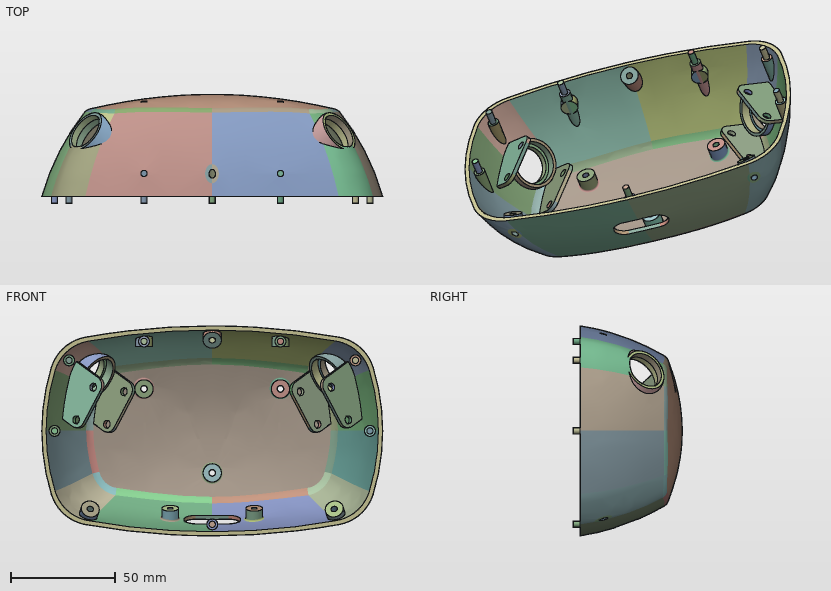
import cadquery as cq
import math

RIM_HALF_X = 81.22
RIM_HALF_Z = 50.05
DOME_HEIGHT = 48.7
DOME_EDGE_Y = 41.4
TOTAL_DEPTH = 52.0
WALL = 2.0
PIN_OUT = TOTAL_DEPTH - DOME_HEIGHT
UP = cq.Vector(0, 0, 1)
OVERSHOOT = 4.0

LONG_ARC_RADIUS = 341.4
SHORT_ARC_RADIUS = 102.7
CORNER_RADIUS = 21.0

WALL_ARC_X = (-30.1, -31.3)
WALL_ARC_Z = (-62.3, -17.3)
WALL_SECTIONS = 5

DOME_POWER = 3.4
DOME_GRID = 24
DOME_REACH = 1.6
DOME_TOLERANCE = 0.02
OUTER_FILLET = 5.0
EDGE_FILLET = 6.0

PIN_POSITIONS = [(-75.1, 0), (75.1, 0), (-68.2, 33.6), (68.2, 33.6), (-32.5, 42.6), (32.5, 42.6), (0, -44.5)]
PIN_DIAMETER = 3.0
POST_DIAMETER = 5.2
POST_Y = 3.5

SCREW_BOSS_SHIFT = {(-58.1, -37.2): (-1.5, -4.6), (58.1, -37.2): (1.5, -4.6), (0, 43.2): (0, 4.6)}
SCREW_BOSS_DIAMETER = 8.7
SCREW_BOSS_Y = 2.7
SCREW_WALL_Y = 10.8
SCREW_HOLE_DIAMETER = 3.0
SCREW_SEAT = 2.0
ACCESS_DIAMETER = 6.5

STANDOFF_POSITIONS = [(-32.5, 20), (32.5, 20), (0, -20)]
FOOT_FILLET = 0.75
STANDOFF_DIAMETER = 8.7
STANDOFF_HOLE = 3.0
STANDOFF_Y = 37.2

TOP_BOSS_X = 32.5
TOP_BOSS_Y = 11.0
TOP_BOSS_DIAMETER = 8.0
TOP_BOSS_Z = 40.1
TOP_HOLE_DIAMETER = 3.0
TOP_HOLE_DEPTH = 5.0

FLOOR_BOSS_X = 20.0
FLOOR_Y = 22.0
FLOOR_BOSS_DIAMETER = 8.0
FLOOR_BOSS_HEIGHT = 6.0
FLOOR_BOSS_HOLE = 2.5
FLOOR_BOSS_HOLE_DEPTH = 5.0
SLOT_LENGTH = 27.0
SLOT_WIDTH = 11.5

EYE_CENTRE = (-60.4, 31.1, 29.1)
EYE_AZIMUTH = math.radians(38)
EYE_ELEVATION = math.radians(30)
EYE_ROLL = math.radians(5.5)
EYE_RIM_DIAMETER = 20.9
EYE_MOUTH_DIAMETER = 18.0
EYE_MOUTH_DEPTH = 3.5
EYE_BORE_DIAMETER = 20.9
EYE_SLEEVE_DIAMETER = 23.9
EYE_SLEEVE_LENGTH = 8.0
EYE_FLARE = 8.0
EYE_FLARE_DEPTH = 12.0
PLATE_GAP = 23.5
PLATE_THICKNESS = 2.0
PLATE_INNER_END = 22.0
PLATE_REACH = 40.0
PLATE_HOLE_PITCH = 18.0
PLATE_TOP_MARGIN = 5.3
PLATE_BOTTOM_MARGIN = 3.7
PLATE_CORNER = 4.5
PLATE_HOLE_DIAMETER = 3.8


def half_size(arc, rim_half, y, inset):
    """Half width of the wall at depth y, measured to the wall profile arc moved in by inset."""
    centre, centre_y = arc
    radius = math.hypot(rim_half - centre, centre_y) - inset
    return centre + math.sqrt(radius**2 - (y - centre_y) ** 2)


def outline(y, inset):
    """Closed rounded outline of the wall at depth y, as twelve tangent arcs."""
    half_x = half_size(WALL_ARC_X, RIM_HALF_X, y, inset)
    half_z = half_size(WALL_ARC_Z, RIM_HALF_Z, y, inset)
    long_radius = LONG_ARC_RADIUS * half_x / RIM_HALF_X
    short_radius = SHORT_ARC_RADIUS * half_z / RIM_HALF_Z
    corner = CORNER_RADIUS * half_z / RIM_HALF_Z
    long_z = half_z - long_radius
    short_x = half_x - short_radius
    span = math.hypot(short_x, long_z)
    to_long = long_radius - corner
    to_short = short_radius - corner
    along = (to_long**2 - to_short**2 + span**2) / (2 * span)
    across = math.sqrt(to_long**2 - along**2)
    corner_x = (along * short_x - across * long_z) / span
    corner_z = long_z + (-along * long_z - across * short_x) / span
    long_angle = math.atan2(corner_z - long_z, corner_x)
    short_angle = math.atan2(corner_z, corner_x - short_x)

    def arc(cx, cz, radius, start, end, flip_x, flip_z):
        points = []
        for angle in (start, (start + end) / 2, end):
            px = flip_x * (cx + radius * math.cos(angle))
            pz = flip_z * (cz + radius * math.sin(angle))
            points.append(cq.Vector(px, y, pz))
        return points

    edges = []
    for flip_x, flip_z in [(1, 1), (-1, 1), (-1, -1), (1, -1)]:
        quarter = [
            arc(short_x, 0, short_radius, 0, short_angle, flip_x, flip_z),
            arc(corner_x, corner_z, corner, short_angle, long_angle, flip_x, flip_z),
            arc(0, long_z, long_radius, long_angle, math.pi / 2, flip_x, flip_z),
        ]
        if flip_x * flip_z < 0:
            quarter = [points[::-1] for points in quarter[::-1]]
        edges += [cq.Edge.makeThreePointArc(*points) for points in quarter]
    return cq.Wire.assembleEdges(edges)


def dome_block(inset):
    """Block under the dome surface; the surface is level along the top of the wall."""
    edge_x = half_size(WALL_ARC_X, RIM_HALF_X, DOME_EDGE_Y, 0)
    edge_z = half_size(WALL_ARC_Z, RIM_HALF_Z, DOME_EDGE_Y, 0)
    drop = DOME_HEIGHT - DOME_EDGE_Y
    grid = []
    for i in range(DOME_GRID + 1):
        row = []
        u = DOME_REACH * (2 * i / DOME_GRID - 1)
        for j in range(DOME_GRID + 1):
            v = DOME_REACH * (2 * j / DOME_GRID - 1)
            level = (abs(u) ** DOME_POWER + abs(v) ** DOME_POWER) ** (2 / DOME_POWER)
            row.append(cq.Vector(u * edge_x, DOME_HEIGHT - inset - drop * level, v * edge_z))
        grid.append(row)
    surface = cq.Face.makeSplineApprox(grid, tol=DOME_TOLERANCE)
    return cq.Workplane(cq.Solid.extrudeLinear(surface, cq.Vector(0, -2 * DOME_HEIGHT, 0)))


def filled_body(inset):
    """Solid between the rim plane and the dome, moved in by inset."""
    depths = [DOME_HEIGHT * i / (WALL_SECTIONS - 1) for i in range(WALL_SECTIONS)]
    wall = cq.Solid.makeLoft([outline(y, inset) for y in depths])
    return cq.Workplane(wall).intersect(dome_block(inset))


def round_dome_edge(body, radius):
    """Round the edge where the dome meets the side wall."""
    edges = []
    for edge in body.edges().vals():
        box = edge.BoundingBox()
        if edge.Center().y > 0.75 * DOME_HEIGHT and box.ylen < WALL and box.ymax < DOME_HEIGHT - 2 * WALL:
            edges.append(edge)
    return body.newObject(edges).fillet(radius)


def round_feet(cavity):
    """Round the closed curves where separate bosses stand on the curved wall."""
    feet = [edge for edge in cavity.edges().vals() if edge.IsClosed() and edge.geomType() != "CIRCLE"]
    return cavity.newObject(feet).fillet(FOOT_FILLET)


def rod(start, direction, diameter, length):
    """Cylinder from a start point along a direction."""
    return cq.Workplane(cq.Solid.makeCylinder(diameter / 2, length, start, direction))


def along_y(position, start_y, end_y, diameter):
    """Cylinder parallel to Y at an (x, z) position."""
    x, z = position
    return rod(cq.Vector(x, start_y, z), cq.Vector(0, 1, 0), diameter, end_y - start_y)


def both_sides(body):
    """The body together with its mirror image in the YZ plane."""
    return body.union(body.mirror("YZ"))


def group(bodies):
    """Separate bodies held together so that they can be added or cut in one step."""
    return cq.Workplane(cq.Compound.makeCompound([body.val() for body in bodies]))


def floor_frame():
    """Start point on the lower outer wall at the fittings and the inward wall normal there."""
    centre, centre_y = WALL_ARC_Z
    half_z = half_size(WALL_ARC_Z, RIM_HALF_Z, FLOOR_Y, 0)
    normal = cq.Vector(0, centre_y - FLOOR_Y, half_z - centre).normalized()
    return cq.Vector(0, FLOOR_Y, -half_z), normal


def eye_plane():
    """Frame of the -X eye: X points out of the eye, Y down along the plates, Z across the plates."""
    flat = math.cos(EYE_ELEVATION)
    axis = cq.Vector(
        -flat * math.cos(EYE_AZIMUTH),
        flat * math.sin(EYE_AZIMUTH),
        math.sin(EYE_ELEVATION),
    )
    level = cq.Vector(math.sin(EYE_AZIMUTH), math.cos(EYE_AZIMUTH), 0)
    down = axis.cross(level)
    across = level * math.cos(EYE_ROLL) + down * math.sin(EYE_ROLL)
    return cq.Plane(origin=EYE_CENTRE, xDir=axis, normal=-across)


EYE = eye_plane()


def eye_rod(diameter, from_depth, to_depth):
    """Cylinder on the eye axis between two depths behind the mouth."""
    start = EYE.toWorldCoords((-from_depth, 0, 0))
    return rod(start, -EYE.xDir, diameter, to_depth - from_depth)


def eye_hood():
    """Flared hood around the eye, widening from the mouth into the wall."""
    rim = EYE_RIM_DIAMETER / 2
    mouth_centre = EYE.toWorldCoords((0, 0, 0))
    cone = cq.Solid.makeCone(rim, rim + EYE_FLARE, EYE_FLARE_DEPTH, mouth_centre, -EYE.xDir)
    return cq.Workplane(cone)


def plates():
    """Pair of parallel plates on either side of the eye axis, each with two holes."""
    length = PLATE_INNER_END + PLATE_REACH
    width = PLATE_TOP_MARGIN + PLATE_HOLE_PITCH + PLATE_BOTTOM_MARGIN
    middle_x = PLATE_REACH - length / 2
    middle_y = -PLATE_CORNER + width / 2
    hole_x = PLATE_CORNER - PLATE_INNER_END
    hole_y = PLATE_TOP_MARGIN - PLATE_CORNER
    pair = cq.Workplane()
    for offset in (-PLATE_GAP / 2 - PLATE_THICKNESS, PLATE_GAP / 2):
        plate = (
            cq.Workplane(EYE)
            .workplane(offset=offset)
            .center(middle_x, middle_y)
            .rect(length, width)
            .extrude(PLATE_THICKNESS)
            .edges(cq.selectors.ParallelDirSelector(EYE.zDir))
            .edges(cq.selectors.DirectionMinMaxSelector(EYE.xDir, False))
            .fillet(PLATE_CORNER)
        )
        plate_holes = (
            cq.Workplane(EYE)
            .workplane(offset=offset)
            .pushPoints([(hole_x, hole_y), (hole_x, hole_y + PLATE_HOLE_PITCH)])
            .circle(PLATE_HOLE_DIAMETER / 2)
            .extrude(PLATE_THICKNESS)
        )
        pair = pair.add(plate.cut(plate_holes))
    return pair.combine()


def screw_boss_axis(position):
    """End point of a tilted screw boss inside the rim, and the direction out to the wall."""
    x, z = position
    shift_x, shift_z = SCREW_BOSS_SHIFT[position]
    end = cq.Vector(x, SCREW_BOSS_Y, z)
    wall_point = cq.Vector(x + shift_x, SCREW_WALL_Y, z + shift_z)
    return end, wall_point - end


fittings = both_sides(plates()).union(both_sides(eye_rod(EYE_SLEEVE_DIAMETER, 0, EYE_SLEEVE_LENGTH)))
footed = []
holes = []
for position in SCREW_BOSS_SHIFT:
    end, outward = screw_boss_axis(position)
    reach = outward.Length + OVERSHOOT
    fittings = fittings.union(rod(end, outward, SCREW_BOSS_DIAMETER, reach))
    holes.append(rod(end, outward, SCREW_HOLE_DIAMETER, reach))
    holes.append(rod(end + outward.normalized() * SCREW_SEAT, outward, ACCESS_DIAMETER, reach))

for position in STANDOFF_POSITIONS:
    footed.append(along_y(position, STANDOFF_Y, DOME_HEIGHT, STANDOFF_DIAMETER))
    holes.append(along_y(position, STANDOFF_Y, DOME_HEIGHT, STANDOFF_HOLE))

pins = []
for position in PIN_POSITIONS:
    fittings = fittings.union(along_y(position, POST_Y, DOME_HEIGHT, POST_DIAMETER))
    pins.append(along_y(position, -PIN_OUT, POST_Y + PIN_OUT, PIN_DIAMETER))

floor_point, floor_normal = floor_frame()
boss_reach = WALL + FLOOR_BOSS_HEIGHT
for side in (-1, 1):
    foot = floor_point + cq.Vector(side * FLOOR_BOSS_X, 0, 0)
    footed.append(rod(foot, floor_normal, FLOOR_BOSS_DIAMETER, boss_reach))
    boss_end = foot + floor_normal * boss_reach
    holes.append(rod(boss_end, -floor_normal, FLOOR_BOSS_HOLE, FLOOR_BOSS_HOLE_DEPTH))
    top_boss_end = cq.Vector(side * TOP_BOSS_X, TOP_BOSS_Y, TOP_BOSS_Z)
    fittings = fittings.union(rod(top_boss_end, UP, TOP_BOSS_DIAMETER, RIM_HALF_Z - TOP_BOSS_Z))
    top_start = cq.Vector(side * TOP_BOSS_X, TOP_BOSS_Y, RIM_HALF_Z)
    holes.append(rod(top_start, -UP, TOP_HOLE_DIAMETER, TOP_HOLE_DEPTH))

slot_plane = cq.Plane(origin=floor_point, xDir=cq.Vector(1, 0, 0), normal=floor_normal)
slot = cq.Workplane(slot_plane).slot2D(SLOT_LENGTH, SLOT_WIDTH).extrude(WALL + OVERSHOOT, both=True)
holes.append(slot)
mouth = eye_rod(EYE_MOUTH_DIAMETER, -OVERSHOOT, EYE_MOUTH_DEPTH)
bore = eye_rod(EYE_BORE_DIAMETER, EYE_MOUTH_DEPTH, EYE_SLEEVE_LENGTH + OVERSHOOT)
holes.append(both_sides(mouth.union(bore)))

outer = round_dome_edge(filled_body(0), OUTER_FILLET)
inner = round_dome_edge(filled_body(WALL), EDGE_FILLET)
cavity = round_feet(inner.cut(group(footed))).cut(fittings)
result = outer.union(both_sides(eye_hood()))
result = result.cut(cavity)
result = result.union(group(pins))
result = result.cut(group(holes))